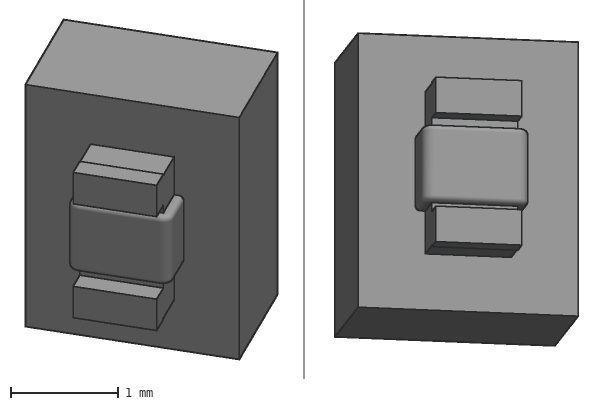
import cadquery as cq

BLOCK_WIDTH = 2.08
BLOCK_DEPTH = 1.24
BLOCK_HEIGHT = 2.62

BUTTON_WIDTH = 1.0
BUTTON_HEIGHT = 0.73
BUTTON_REACH = 0.438
BUTTON_SIDE_RADIUS = 0.102
BUTTON_RIM_RADIUS = 0.05

BRACKET_WIDTH = 0.812
BRACKET_HEIGHT = 1.548
BRACKET_REACH = 0.348
LIP_REACH = 0.56
LIP_OUTER_HEIGHT = 1.572
LIP_GAP = 0.893


def front_box(width, height, start, reach):
    """Box centred on X and Z, spanning two distances ahead of the block's front face."""
    depth = reach - start
    center_y = -BLOCK_DEPTH - (start + reach) / 2
    return cq.Workplane("XY").box(width, depth, height).translate((0, center_y, 0))


def make_block():
    block = cq.Workplane("XY").box(BLOCK_WIDTH, BLOCK_DEPTH, BLOCK_HEIGHT)
    return block.translate((0, -BLOCK_DEPTH / 2, 0))


def make_button():
    button = front_box(BUTTON_WIDTH, BUTTON_HEIGHT, 0, BUTTON_REACH)
    button = button.edges("|Z and <Y").fillet(BUTTON_SIDE_RADIUS)
    return button.faces("<Z or >Z").edges("not >Y").fillet(BUTTON_RIM_RADIUS)


def make_bracket():
    bracket = front_box(BRACKET_WIDTH, BRACKET_HEIGHT, 0, BRACKET_REACH)
    lip_height = (LIP_OUTER_HEIGHT - LIP_GAP) / 2
    lip_offset = (LIP_OUTER_HEIGHT + LIP_GAP) / 4
    lip = front_box(BRACKET_WIDTH, lip_height, BRACKET_REACH, LIP_REACH)
    for side in (-1, 1):
        bracket = bracket.union(lip.translate((0, 0, side * lip_offset)))
    return bracket


result = make_block().union(make_bracket()).union(make_button())